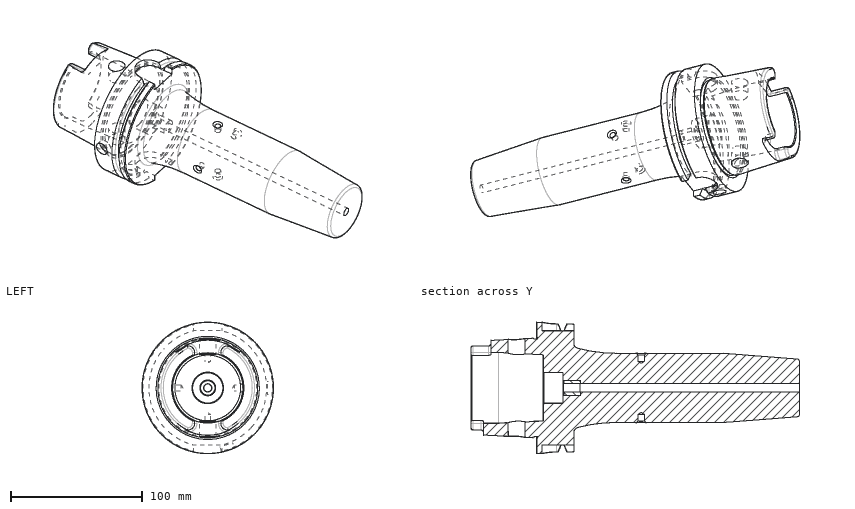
import cadquery as cq
import math

TOTAL_LENGTH = 250.0
FLANGE_START = 50.0
FLANGE_END = 78.5
NECK_ARC_START = 81.5
NECK_END = 110.8
NOSE_START = 192.2

TAPER_END_RADIUS = 35.5
TAPER_BIG_RADIUS = 38.0
FLANGE_RADIUS = 50.0
SHANK_RADIUS = 26.5
NOSE_END_RADIUS = 22.0
NOSE_ROUND = 2.0

RELIEF_START = 47.2
RELIEF_FLOOR_START = 48.2
RELIEF_RADIUS = 37.2
RELIEF_FACE_RADIUS = 39.2
RELIEF_FACE_DEPTH = 0.8

GROOVE_START = 66.2
GROOVE_END = 73.0
GROOVE_BEND_X = 67.5
GROOVE_BEND_RADIUS = 47.5
GROOVE_FLOOR_START = 68.5
GROOVE_FLOOR_END = 70.8
GROOVE_FLOOR_RADIUS = 44.8
FLANGE_END_CHAMFER = 0.8

NECK_ARC_RISE = 3.8
NECK_FLANGE_RADIUS = 33.5

BORE_RADIUS = 26.8
BORE_RIM_CHAMFER = 0.8
BORE_STRAIGHT_LENGTH = 21.0
BORE_FLOOR_RADIUS = 25.0
BORE_DEPTH = 55.0
TUBE_HOLE_RADIUS = 11.5
TUBE_HOLE_DEPTH = 15.0
SCREW_RADIUS = 5.5
SCREW_LENGTH = 12.5
COOLANT_RADIUS = 3.0
HOLE_CHAMFER = 0.5
END_FACE_ROUND = 1.8

DRIVE_HALF_WIDTH = 10.0
DRIVE_CORNER_RADIUS = 5.0
DRIVE_SHOULDER_HEIGHT = 32.0
DRIVE_FLOOR_ROUND = 1.8
UPPER_DRIVE_DEPTH = 15.2
LOWER_DRIVE_DEPTH = 9.5

CROSS_HOLE_X = 34.8
CROSS_HOLE_RADIUS = 6.2

KEYWAY_HALF_WIDTH = 11.0
KEYWAY_START = 54.2
KEYWAY_FLOOR_HEIGHT = 43.5

POCKET_RADIUS = 5.0
POCKET_DEPTH = 4.5
SIDE_POCKET_X = 56.8
SIDE_POCKET_ANGLE = 0.0
LOWER_POCKET_X = 58.5
LOWER_POCKET_ANGLE = 72.0

SHANK_HOLE_X = 129.5
SHANK_HOLE_RADIUS = 2.2
SHANK_HOLE_DEPTH = 6.2
SHANK_HOLE_COUNT = 4
COUNTERSINK_RADIUS = 3.8
DRILL_POINT_ANGLE = 118.0


def revolve_about_x(profile):
    """Close a half profile drawn in the XZ plane and turn it about the X axis."""
    return profile.close().revolve(360, (0, 0, 0), (1, 0, 0))


def neck_arc_midpoint():
    """Point halfway along the large neck arc, which ends tangent to the shank."""
    run = NECK_END - NECK_ARC_START
    radius = (run**2 + NECK_ARC_RISE**2) / (2 * NECK_ARC_RISE)
    half_angle = math.asin(run / radius) / 2
    x = NECK_END - radius * math.sin(half_angle)
    y = SHANK_RADIUS + radius * (1 - math.cos(half_angle))
    return x, y


def outer_body():
    neck_start = (NECK_ARC_START, SHANK_RADIUS + NECK_ARC_RISE)
    profile = (
        cq.Workplane("XZ")
        .moveTo(TOTAL_LENGTH, 0)
        .lineTo(TOTAL_LENGTH, NOSE_END_RADIUS)
        .lineTo(NOSE_START, SHANK_RADIUS)
        .lineTo(NECK_END, SHANK_RADIUS)
        .threePointArc(neck_arc_midpoint(), neck_start)
        .tangentArcPoint((FLANGE_END, NECK_FLANGE_RADIUS), relative=False)
        .lineTo(FLANGE_END, FLANGE_RADIUS - FLANGE_END_CHAMFER)
        .lineTo(FLANGE_END - FLANGE_END_CHAMFER, FLANGE_RADIUS)
        .lineTo(GROOVE_END, FLANGE_RADIUS)
        .lineTo(GROOVE_FLOOR_END, GROOVE_FLOOR_RADIUS)
        .lineTo(GROOVE_FLOOR_START, GROOVE_FLOOR_RADIUS)
        .lineTo(GROOVE_BEND_X, GROOVE_BEND_RADIUS)
        .lineTo(GROOVE_START, FLANGE_RADIUS)
        .lineTo(FLANGE_START, FLANGE_RADIUS)
        .lineTo(FLANGE_START, RELIEF_FACE_RADIUS)
        .lineTo(FLANGE_START + RELIEF_FACE_DEPTH, RELIEF_RADIUS)
        .lineTo(RELIEF_FLOOR_START, RELIEF_RADIUS)
        .lineTo(RELIEF_START, TAPER_BIG_RADIUS)
        .lineTo(0, TAPER_END_RADIUS)
        .lineTo(0, 0)
    )
    body = revolve_about_x(profile)
    return body.faces(">X").edges().fillet(NOSE_ROUND)


def bore_space():
    """The stepped hollow along the axis, including the seat of the stop screw."""
    tube_floor = BORE_DEPTH + TUBE_HOLE_DEPTH
    screw_floor = tube_floor + HOLE_CHAMFER + SCREW_LENGTH
    profile = (
        cq.Workplane("XZ")
        .moveTo(0, 0)
        .lineTo(0, BORE_RADIUS + BORE_RIM_CHAMFER)
        .lineTo(BORE_RIM_CHAMFER, BORE_RADIUS)
        .lineTo(BORE_STRAIGHT_LENGTH, BORE_RADIUS)
        .lineTo(BORE_DEPTH, BORE_FLOOR_RADIUS)
        .lineTo(BORE_DEPTH, TUBE_HOLE_RADIUS + HOLE_CHAMFER)
        .lineTo(BORE_DEPTH + HOLE_CHAMFER, TUBE_HOLE_RADIUS)
        .lineTo(tube_floor, TUBE_HOLE_RADIUS)
        .lineTo(tube_floor, SCREW_RADIUS + HOLE_CHAMFER)
        .lineTo(tube_floor + HOLE_CHAMFER, SCREW_RADIUS)
        .lineTo(screw_floor, SCREW_RADIUS)
        .lineTo(screw_floor, COOLANT_RADIUS)
        .lineTo(TOTAL_LENGTH, COOLANT_RADIUS)
        .lineTo(TOTAL_LENGTH, 0)
    )
    return revolve_about_x(profile)


def drive_slot(depth):
    """Slot cutter on the +Z side, flared outwards over rounded corners."""
    top = FLANGE_RADIUS
    flare = DRIVE_HALF_WIDTH + DRIVE_CORNER_RADIUS
    corner_start = DRIVE_SHOULDER_HEIGHT - DRIVE_CORNER_RADIUS
    corner_turn = DRIVE_CORNER_RADIUS * math.sqrt(0.5)
    corner_mid = (flare - corner_turn, corner_start + corner_turn)
    cutter = (
        cq.Workplane("YZ")
        .moveTo(DRIVE_HALF_WIDTH, 0)
        .lineTo(DRIVE_HALF_WIDTH, corner_start)
        .threePointArc(corner_mid, (flare, DRIVE_SHOULDER_HEIGHT))
        .lineTo(FLANGE_RADIUS, DRIVE_SHOULDER_HEIGHT)
        .lineTo(FLANGE_RADIUS, top)
        .lineTo(-FLANGE_RADIUS, top)
        .lineTo(-FLANGE_RADIUS, DRIVE_SHOULDER_HEIGHT)
        .lineTo(-flare, DRIVE_SHOULDER_HEIGHT)
        .threePointArc((-corner_mid[0], corner_mid[1]), (-DRIVE_HALF_WIDTH, corner_start))
        .lineTo(-DRIVE_HALF_WIDTH, 0)
        .close()
        .extrude(depth)
    )
    return cutter.faces(">X").edges().fillet(DRIVE_FLOOR_ROUND)


def keyway():
    """Keyway cutter on the +Z side: a round-ended slot, open on the shank side."""
    arc_centre_x = KEYWAY_START + KEYWAY_HALF_WIDTH
    return (
        cq.Workplane("XY", origin=(0, 0, KEYWAY_FLOOR_HEIGHT))
        .moveTo(FLANGE_END, KEYWAY_HALF_WIDTH)
        .lineTo(arc_centre_x, KEYWAY_HALF_WIDTH)
        .threePointArc((KEYWAY_START, 0), (arc_centre_x, -KEYWAY_HALF_WIDTH))
        .lineTo(FLANGE_END, -KEYWAY_HALF_WIDTH)
        .close()
        .extrude(FLANGE_RADIUS)
    )


def rim_pocket(x, angle):
    """Flat-bottomed round pocket cut radially into the flange rim."""
    pocket = (
        cq.Workplane("XZ", origin=(x, POCKET_DEPTH - FLANGE_RADIUS, 0))
        .circle(POCKET_RADIUS)
        .extrude(2 * POCKET_DEPTH)
    )
    return pocket.rotate((0, 0, 0), (1, 0, 0), angle)


def shank_hole():
    """Countersunk drill hole with a conical tip, on the +Z side."""
    tip_length = SHANK_HOLE_RADIUS / math.tan(math.radians(DRILL_POINT_ANGLE / 2))
    countersink_depth = COUNTERSINK_RADIUS - SHANK_HOLE_RADIUS
    floor = SHANK_RADIUS - SHANK_HOLE_DEPTH
    return (
        cq.Workplane("XZ")
        .moveTo(0, floor - tip_length)
        .lineTo(SHANK_HOLE_RADIUS, floor)
        .lineTo(SHANK_HOLE_RADIUS, SHANK_RADIUS - countersink_depth)
        .lineTo(COUNTERSINK_RADIUS, SHANK_RADIUS)
        .lineTo(COUNTERSINK_RADIUS, FLANGE_RADIUS)
        .lineTo(0, FLANGE_RADIUS)
        .close()
        .revolve(360, (0, 0, 0), (0, 1, 0))
        .translate((SHANK_HOLE_X, 0, 0))
    )


def make_holder():
    holder = outer_body()

    for depth, turn in ((UPPER_DRIVE_DEPTH, 0), (LOWER_DRIVE_DEPTH, 180)):
        holder = holder.cut(drive_slot(depth).rotate((0, 0, 0), (1, 0, 0), turn))
    holder = holder.faces("<X").edges().fillet(END_FACE_ROUND)
    holder = holder.cut(bore_space())
    for turn in (0, 180):
        holder = holder.cut(keyway().rotate((0, 0, 0), (1, 0, 0), turn))

    cross_hole = (
        cq.Workplane("XY", origin=(CROSS_HOLE_X, 0, 0))
        .circle(CROSS_HOLE_RADIUS)
        .extrude(FLANGE_RADIUS, both=True)
    )
    holder = holder.cut(cross_hole)

    holder = holder.cut(rim_pocket(SIDE_POCKET_X, SIDE_POCKET_ANGLE))
    holder = holder.cut(rim_pocket(LOWER_POCKET_X, LOWER_POCKET_ANGLE))

    for index in range(SHANK_HOLE_COUNT):
        turn = index * 360 / SHANK_HOLE_COUNT
        holder = holder.cut(shank_hole().rotate((0, 0, 0), (1, 0, 0), turn))
    return holder


def make_stop_screw():
    """Hollow screw seated at the end of the stepped hole."""
    start = BORE_DEPTH + TUBE_HOLE_DEPTH + HOLE_CHAMFER
    return (
        cq.Workplane("YZ", origin=(start, 0, 0))
        .circle(SCREW_RADIUS)
        .circle(COOLANT_RADIUS)
        .extrude(SCREW_LENGTH)
    )


holder = make_holder()
stop_screw = make_stop_screw()

result = cq.Compound.makeCompound([holder.val(), stop_screw.val()])